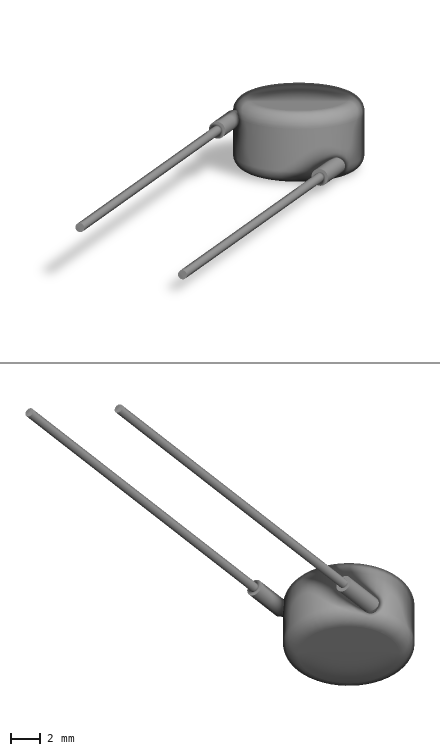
import cadquery as cq
import math

DISC_DIAMETER = 9.0
DISC_HEIGHT = 5.0
EDGE_RADIUS = 1.0

OVERALL_LENGTH = 36.81
LEAD_SPACING = 7.5
LEAD_OFFSET_Z = 1.3
LEAD_DIAMETER = 0.65
SLEEVE_DIAMETER = 1.2

BEND_Y = -2.8
BEND_ANGLE = 45.0
BEND_LEG = 1.0
SLEEVE_END_Y = -5.85
LEAD_END_Y = DISC_DIAMETER / 2 - OVERALL_LENGTH


def bent_rod(side, diameter, end_y):
    """Round rod from end_y up to the bend, then mitred inward into the disc; side is -1 or +1."""
    x = side * LEAD_SPACING / 2
    z = -side * LEAD_OFFSET_Z
    angle = math.radians(BEND_ANGLE)
    inner_x = x - side * BEND_LEG * math.sin(angle)
    inner_y = BEND_Y + BEND_LEG * math.cos(angle)
    path = cq.Workplane("XY", origin=(0, 0, z)).moveTo(x, end_y).lineTo(x, BEND_Y).lineTo(inner_x, inner_y)
    profile = cq.Workplane("XZ", origin=(x, end_y, z)).circle(diameter / 2)
    return profile.sweep(path, transition="right")


def make_lead(side):
    return bent_rod(side, LEAD_DIAMETER, LEAD_END_Y)


def make_coating():
    """Disc with a sleeve around each lead, bored out to fit the leads."""
    coating = cq.Workplane("XY").cylinder(DISC_HEIGHT, DISC_DIAMETER / 2).edges().fillet(EDGE_RADIUS)
    for side in (-1, 1):
        coating = coating.union(bent_rod(side, SLEEVE_DIAMETER, SLEEVE_END_Y))
    for side in (-1, 1):
        coating = coating.cut(make_lead(side))
    return coating.solids()


coating = make_coating()
leads = [make_lead(side) for side in (-1, 1)]

result = cq.Compound.makeCompound([coating.val(), *[lead.val() for lead in leads]])